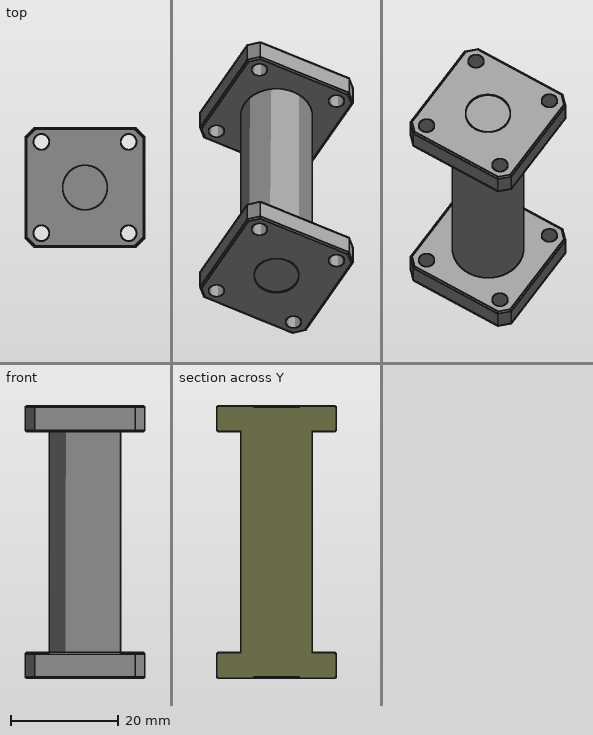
import cadquery as cq

overall_length = 50.8
flange_width = 22.35

flange_thickness = 4.83
corner_cut = 1.8
edge_chamfer = 0.3

bolt_hole_diameter = 2.9
bolt_spacing_x = 16.26
bolt_spacing_y = 17.02

tube_diameter = 13.4
recess_diameter = 8.33
recess_depth = 0.25


def make_flange(base_z):
    """Square plate with cut corners, beveled rims and four through holes."""
    plate = (
        cq.Workplane("XY")
        .workplane(offset=base_z)
        .rect(flange_width, flange_width)
        .extrude(flange_thickness)
        .edges("|Z")
        .chamfer(corner_cut)
        .faces("<Z or >Z")
        .edges()
        .chamfer(edge_chamfer)
    )
    bolt_holes = (
        cq.Workplane("XY")
        .workplane(offset=base_z)
        .rect(bolt_spacing_x, bolt_spacing_y, forConstruction=True)
        .vertices()
        .circle(bolt_hole_diameter / 2)
        .extrude(flange_thickness)
    )
    return plate.cut(bolt_holes)


def make_tube():
    """Round body running from end to end through both flanges."""
    return cq.Workplane("XY").circle(tube_diameter / 2).extrude(overall_length)


def make_recess(base_z):
    """Shallow disc to be removed from an end face."""
    return (
        cq.Workplane("XY")
        .workplane(offset=base_z)
        .circle(recess_diameter / 2)
        .extrude(recess_depth)
    )


result = make_tube()
for flange_base_z in (0, overall_length - flange_thickness):
    result = result.union(make_flange(flange_base_z))
for recess_base_z in (0, overall_length - recess_depth):
    result = result.cut(make_recess(recess_base_z))
result = result.clean()